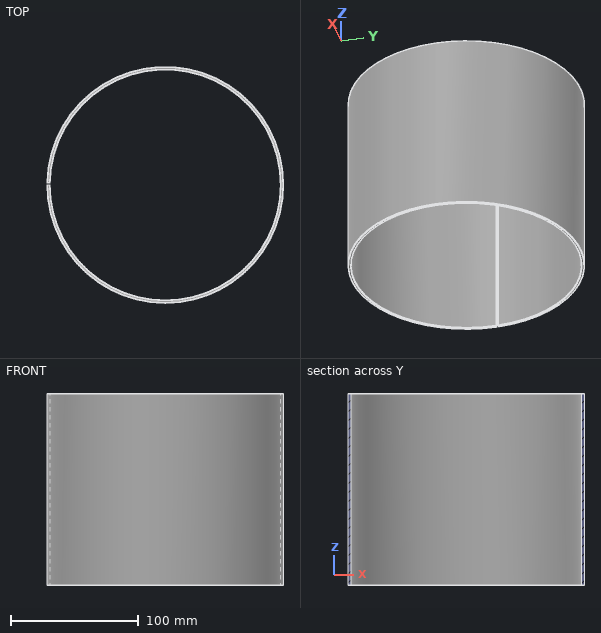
import cadquery as cq

outer_diameter = 185.0
height = 150.0
inner_diameter = 180.0
rim_chamfer = 0.5
slit_width = 1.7
slit_start = 0.0

outer_radius = outer_diameter / 2
inner_radius = inner_diameter / 2


def make_sleeve():
    """Thin-walled tube standing on the XY plane, with all four rim edges chamfered."""
    tube = cq.Workplane("XY").circle(outer_radius).circle(inner_radius).extrude(height)
    return tube.edges("%CIRCLE").chamfer(rim_chamfer)


def make_slit():
    """Full-height cutter that opens only the -X wall, on the +Y side of centre."""
    return cq.Workplane("XY").box(
        outer_radius, slit_width, height, centered=False
    ).translate((-outer_radius, slit_start, 0))


result = make_sleeve().cut(make_slit())